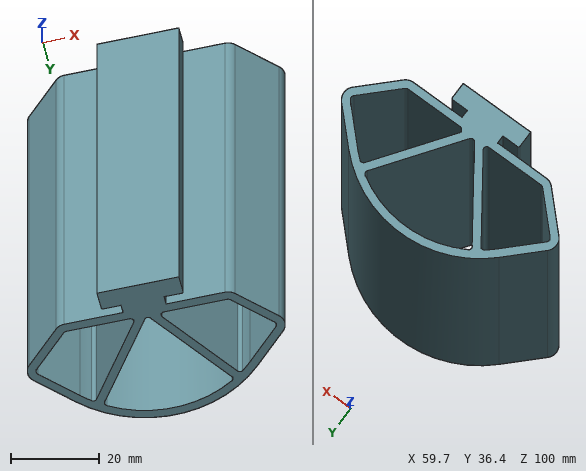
import cadquery as cq
import math

length = 100.0
overall_depth = 36.4
wall = 2.0

foot_width = 19.0
foot_thickness = 4.5
foot_corner_radius = 0.4
neck_width = 10.0
shell_bottom = 6.5

crown_radius = overall_depth - shell_bottom
floor_half_width = 19.9
outer_corner_radius = 3.0
inner_corner_radius = outer_corner_radius - wall

rib_angle = 54.6
rib_corner_radius = 0.8
rib_reach = 17.5


def extrude_outline(outline):
    """Close an outline and extrude it over the full length."""
    return outline.close().extrude(length)


def shell_solid(offset):
    """Solid bounded by the shell outline moved inward by the offset."""
    radius = crown_radius - offset
    bottom = shell_bottom + offset
    tangent = radius * math.sin(math.radians(45))
    half_corner_angle = math.radians(45) / 2
    floor_x = floor_half_width - offset * math.tan(half_corner_angle)
    flank_sum = shell_bottom + radius * math.sqrt(2)
    flank_difference = floor_x - bottom
    tip_x = (flank_sum + flank_difference) / 2
    tip_y = (flank_sum - flank_difference) / 2
    return extrude_outline(
        cq.Workplane("XY")
        .moveTo(-floor_x, bottom)
        .lineTo(floor_x, bottom)
        .lineTo(tip_x, tip_y)
        .lineTo(tangent, shell_bottom + tangent)
        .threePointArc((0, shell_bottom + radius), (-tangent, shell_bottom + tangent))
        .lineTo(-tip_x, tip_y)
    )


def round_edges_within(body, half_width, height, radius):
    """Round the lengthwise edges inside a box standing on Y = 0."""
    region = cq.selectors.BoxSelector((-half_width, 0, 0), (half_width, height, length))
    return body.edges("|Z").edges(region).fillet(radius)


def center_wedge():
    """Wedge between the inner faces of the two ribs."""
    height = overall_depth
    half_width = height / math.tan(math.radians(rib_angle))
    apex_y = shell_bottom + wall
    return extrude_outline(
        cq.Workplane("XY")
        .moveTo(0, apex_y)
        .lineTo(half_width, apex_y + height)
        .lineTo(-half_width, apex_y + height)
    )


def rib_wedge():
    """Center wedge widened by one wall thickness on each side."""
    drop = wall / math.cos(math.radians(rib_angle))
    return center_wedge().translate((0, -drop, 0))


def foot():
    """Foot plate and the neck that carries the shell floor."""
    plate = cq.Workplane("XY").box(foot_width, foot_thickness, length, centered=(True, False, False))
    plate = plate.edges("|Z and >Y").fillet(foot_corner_radius)
    neck_height = shell_bottom + wall / 2
    neck = cq.Workplane("XY").box(neck_width, neck_height, length, centered=(True, False, False))
    return plate.union(neck)


rounded_half_width = overall_depth
rounded_height = shell_bottom + crown_radius / 2
outer = round_edges_within(shell_solid(0), rounded_half_width, rounded_height, outer_corner_radius)
cavity = round_edges_within(shell_solid(wall), rounded_half_width, rounded_height, inner_corner_radius)

center_channel = cavity.intersect(center_wedge()).edges("|Z").fillet(rib_corner_radius)
side_channels = cavity.cut(rib_wedge())
side_channels = round_edges_within(side_channels, rib_reach, overall_depth, rib_corner_radius)

result = outer.cut(center_channel).cut(side_channels).union(foot())